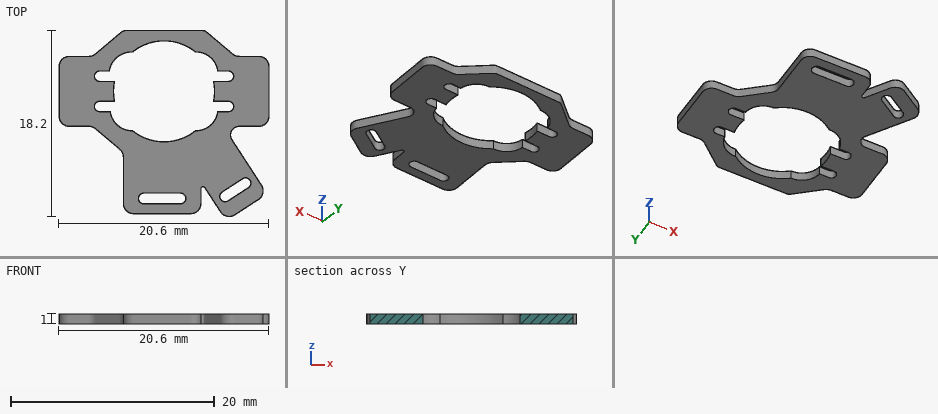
import cadquery as cq
import math

thickness = 1.0
half_width = 10.3
wing_half_height = 3.44
top_y = 5.97
shoulder_x = 4.0
wing_root_x = 7.0
corner_radius = 1.0
slope_radius = 1.0
top_radius = 0.62

tab_right_x = 3.62
tab_bottom_y = -12.0
tab_slot_length = 4.63
tab_slot_y = -10.5
slot_width = 1.03

tilt = 33.0
tilted_left = -1.8
tilted_right = 3.0
tilted_bottom = -13.93
tilted_slot_y = -11.9
tilted_slot_length = 3.42
armpit_radius = 0.85
notch_radius = 0.2

bore_radius = 4.94
lobe_radius = 2.12
lobe_x = 3.15
lobe_y = 1.73
large_lobe_radius = 2.22
large_lobe_x = -3.17
large_lobe_y = 1.63
finger_slot_y = 1.48
finger_slot_width = 0.99
finger_slot_end_x = 6.81


def from_tilted(u, v):
    """Convert a point in the tilted tab's axes to plate axes."""
    c = math.cos(math.radians(tilt))
    s = math.sin(math.radians(tilt))
    return (u * c - v * s, u * s + v * c)


def tilted_edge_at_x(u, x):
    """Point at the given x on the tilted tab's side edge."""
    c = math.cos(math.radians(tilt))
    s = math.sin(math.radians(tilt))
    return (x, (u - x * c) / s)


def tilted_edge_at_y(u, y):
    """Point at the given y on the tilted tab's side edge."""
    c = math.cos(math.radians(tilt))
    s = math.sin(math.radians(tilt))
    return ((u - y * s) / c, y)


def rounded_plate(corners):
    """Extrude a polygon whose corners are (point, fillet radius) pairs."""
    plate = cq.Workplane("XY").polyline([point for point, _ in corners]).close().extrude(thickness)
    for (x, y), radius in corners:
        selector = cq.selectors.BoxSelector((x - 0.02, y - 0.02, -0.2), (x + 0.02, y + 0.02, thickness + 0.2))
        plate = plate.edges("|Z").edges(selector).fillet(radius)
    return plate


def slot(x, y, length, width, angle=0):
    """Cutter for a round-ended slot, with length measured overall."""
    return cq.Workplane("XY").center(x, y).slot2D(length, width, angle).extrude(thickness)


def central_opening():
    """Round bore with four corner lobes and two slots on each side."""
    opening = cq.Workplane("XY").circle(bore_radius).extrude(thickness)
    lobe_centers = [(-lobe_x, -lobe_y), (lobe_x, -lobe_y), (lobe_x, lobe_y)]
    lobes = cq.Workplane("XY").pushPoints(lobe_centers).circle(lobe_radius).extrude(thickness)
    large_lobe = cq.Workplane("XY").center(large_lobe_x, large_lobe_y).circle(large_lobe_radius)
    lobes = lobes.union(large_lobe.extrude(thickness))
    tongues = cq.Workplane("XY").rect(2 * half_width, 2 * finger_slot_y).extrude(thickness)
    opening = opening.union(lobes.cut(tongues))
    for side in (-1, 1):
        opening = opening.union(
            slot(0, side * finger_slot_y, 2 * finger_slot_end_x, finger_slot_width)
        )
    return opening


outline = [
    ((-shoulder_x, top_y), top_radius),
    ((shoulder_x, top_y), top_radius),
    ((wing_root_x, wing_half_height), slope_radius),
    ((half_width, wing_half_height), corner_radius),
    ((half_width, -wing_half_height), corner_radius),
    (tilted_edge_at_y(tilted_right, -wing_half_height), armpit_radius),
    (from_tilted(tilted_right, tilted_bottom), corner_radius),
    (from_tilted(tilted_left, tilted_bottom), corner_radius),
    (tilted_edge_at_x(tilted_left, tab_right_x), notch_radius),
    ((tab_right_x, tab_bottom_y), corner_radius),
    ((-shoulder_x, tab_bottom_y), corner_radius),
    ((-shoulder_x, -top_y), corner_radius),
    ((-wing_root_x, -wing_half_height), slope_radius),
    ((-half_width, -wing_half_height), corner_radius),
    ((-half_width, wing_half_height), corner_radius),
    ((-wing_root_x, wing_half_height), slope_radius),
]

tab_slot_x = (tab_right_x - shoulder_x) / 2
tilted_slot_x, tilted_slot_center_y = from_tilted((tilted_left + tilted_right) / 2, tilted_slot_y)

result = (
    rounded_plate(outline)
    .cut(central_opening())
    .cut(slot(tab_slot_x, tab_slot_y, tab_slot_length, slot_width))
    .cut(slot(tilted_slot_x, tilted_slot_center_y, tilted_slot_length, slot_width, tilt))
)